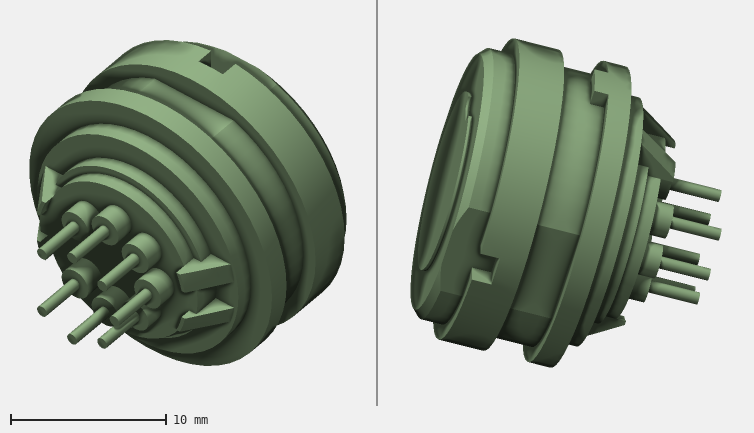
import cadquery as cq
import math


rim_radius = 5.93
rim_depth = 0.25
keyway_width = 2.5
keyway_corner_radius = 0.7
keyway_floor_x = 5.1

barrel_radius = 9.0
barrel_chamfer = 0.5
flat_height = 8.4

ring_radius = 10.0
nut_start = 2.2
nut_end = 5.2
nut_notch_width = 2.0
nut_notch_depth = 1.3

flange_start = 8.2
flange_end = 9.7
tab_width = 2.78
tab_length = 0.95

collar_radius = 8.27
collar_end = 11.0
boss_radius = 6.5
boss_step_depth = 12.0
boss_end = 13.0
insert_radius = 5.93

claw_inner_z = 1.12
claw_outer_z = 2.47
claw_base_radius = 8.0
claw_tip_radius = 6.2
claw_end = 13.8

contact_circle_radius = 3.5
contact_pitch_angle = 45
missing_contact_angle = 180
sleeve_radius = 1.1
sleeve_end = 14.4
pin_radius = 0.4
pin_end = 17.8


def cylinder(radius, start, end, x=0.0, z=0.0):
    """Cylinder along -Y between two depths."""
    base = cq.Workplane("XZ", origin=(x, -start, z))
    return base.circle(radius).extrude(end - start)


def block(x_range, depth_range, z_range):
    """Box given by its X range, depth range and Z range."""
    width = x_range[1] - x_range[0]
    length = depth_range[1] - depth_range[0]
    height = z_range[1] - z_range[0]
    corner = (x_range[0], -depth_range[1], z_range[0])
    return cq.Workplane("XY", origin=corner).box(width, length, height, centered=False)


def make_rim():
    rim = cylinder(rim_radius, 0, rim_depth)
    keyway = block(
        (-ring_radius, -keyway_floor_x),
        (0, rim_depth),
        (-keyway_width / 2, keyway_width / 2),
    )
    keyway = keyway.edges("|Y and >X").fillet(keyway_corner_radius)
    return rim.cut(keyway)


def make_barrel():
    barrel = cylinder(barrel_radius, rim_depth, flange_start)
    barrel = barrel.faces(">Y").chamfer(barrel_chamfer)
    between_flats = block(
        (-ring_radius, ring_radius),
        (rim_depth, flange_start),
        (-flat_height, flat_height),
    )
    return barrel.intersect(between_flats)


def make_nut():
    """Ring nut with a notch down to the barrel flat at the top and bottom."""
    nut = cylinder(ring_radius, nut_start, nut_end)
    for z_range in ((flat_height, ring_radius), (-ring_radius, -flat_height)):
        notch = block(
            (-nut_notch_width / 2, nut_notch_width / 2),
            (nut_start, nut_start + nut_notch_depth),
            z_range,
        )
        nut = nut.cut(notch)
    return nut


def make_flange():
    flange = cylinder(ring_radius, flange_start, flange_end)
    tab_depths = (flange_start - tab_length, flange_start)
    tab_blank = block((-ring_radius, 0), tab_depths, (-tab_width / 2, tab_width / 2))
    tab = tab_blank.intersect(cylinder(ring_radius, *tab_depths))
    return flange.union(tab)


def make_stepped_body():
    collar = cylinder(collar_radius, flange_end, collar_end)
    boss = cylinder(boss_radius, collar_end, boss_step_depth)
    insert = cylinder(insert_radius, boss_step_depth, boss_end)
    guide_depths = (boss_step_depth, boss_end)
    guide_blank = block((-boss_radius, boss_radius), guide_depths, (-claw_inner_z, claw_inner_z))
    guide = guide_blank.intersect(cylinder(boss_radius, *guide_depths))
    return collar.union(boss).union(insert).union(guide)


def make_claws():
    """Slices of a conical ring whose radius narrows towards the claw tips."""
    cone_profile = [
        (insert_radius, -collar_end),
        (claw_base_radius, -collar_end),
        (claw_tip_radius, -claw_end),
        (insert_radius, -claw_end),
    ]
    cone_ring = cq.Workplane("XY").polyline(cone_profile).close().revolve(360, (0, 0), (0, 1))
    slices = cq.Workplane("XY")
    for z_range in ((claw_inner_z, claw_outer_z), (-claw_outer_z, -claw_inner_z)):
        slices = slices.add(block((-ring_radius, ring_radius), (collar_end, claw_end), z_range))
    return cone_ring.intersect(slices.combine())


def make_contact(angle):
    x = contact_circle_radius * math.cos(math.radians(angle))
    z = contact_circle_radius * math.sin(math.radians(angle))
    sleeve = cylinder(sleeve_radius, boss_end, sleeve_end, x, z)
    return sleeve.union(cylinder(pin_radius, sleeve_end, pin_end, x, z))


result = make_rim().union(make_barrel()).union(make_nut()).union(make_flange())
result = result.union(make_stepped_body()).union(make_claws())
for contact_angle in range(0, 360, contact_pitch_angle):
    if contact_angle != missing_contact_angle:
        result = result.union(make_contact(contact_angle))